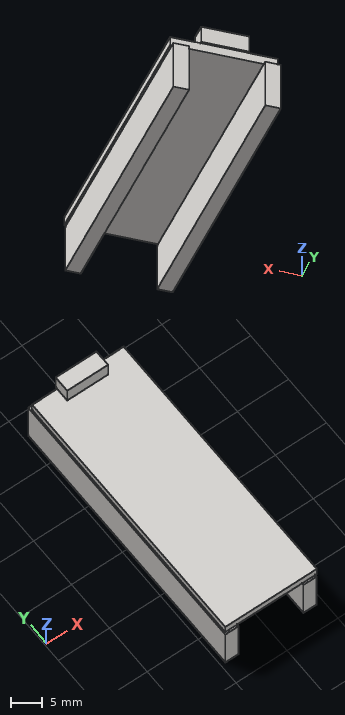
import cadquery as cq

rail_length = 52.1
rail_height = 8.5
rail_thickness = 2.6
rail_pitch = 15.3

deck_width = 17.95
deck_length = 51.05
deck_thickness = 1.55
deck_offset_x = 0.25
deck_offset_y = 0.35

block_width = 8.0
block_depth = 3.05
block_height = 2.95
block_offset_x = 5.15
block_rear_inset = 0.3


def box_at(size, corner):
    """Box with the given size and minimum corner."""
    return cq.Workplane("XY").box(*size, centered=False).translate(corner)


def make_rail(x):
    return box_at((rail_thickness, rail_length, rail_height), (x, 0, 0))


def make_deck():
    return box_at(
        (deck_width, deck_length, deck_thickness),
        (deck_offset_x, deck_offset_y, rail_height),
    )


def make_block():
    block_y = rail_length - block_rear_inset - block_depth
    block_z = rail_height + deck_thickness
    return box_at(
        (block_width, block_depth, block_height),
        (block_offset_x, block_y, block_z),
    )


result = make_deck().union(make_block())
for rail_x in (0, rail_pitch):
    result = result.union(make_rail(rail_x))